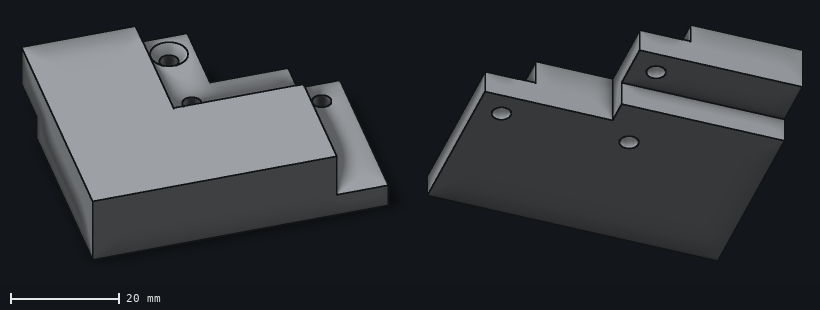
import cadquery as cq

width = 47.0
length = 57.0
height = 14.0

step = 10.0
tab_thickness = 4.85
lip_underside = 5.15
notch_width = 15.0
notch_front = 32.0
pocket_width = 25.0
pocket_front = notch_front - step
pocket_depth = 4.0

hole_offset = step / 2
hole_diameter = 3.6
countersink_diameter = 7.0
countersink_angle = 90.0
inner_hole_x = notch_width + hole_offset
hole_row_y = notch_front - hole_offset
tab_hole_y = length - hole_offset

pocket_floor = height - pocket_depth
tab_front = length - step


def box_between(low, high):
    """Axis-aligned box given by two opposite corners."""
    size = [b - a for a, b in zip(low, high)]
    return cq.Workplane("XY").box(*size, centered=False).translate(low)


block = box_between((0, 0, 0), (width, length, height))

notch = box_between((0, notch_front, 0), (notch_width, length, height))

tab_step = box_between((0, tab_front, tab_thickness), (width, length, height))

lip_undercut = box_between((0, 0, 0), (step, notch_front, lip_underside))

pocket = box_between((0, pocket_front, pocket_floor), (pocket_width, tab_front, height))

result = block.cut(notch).cut(tab_step).cut(lip_undercut).cut(pocket)

plain_holes = (
    cq.Workplane("XY")
    .pushPoints([(inner_hole_x, hole_row_y), (inner_hole_x, tab_hole_y)])
    .circle(hole_diameter / 2)
    .extrude(height)
)
result = result.cut(plain_holes)

result = (
    result.copyWorkplane(cq.Workplane("XY", origin=(0, 0, pocket_floor)))
    .center(hole_offset, hole_row_y)
    .cskHole(hole_diameter, countersink_diameter, countersink_angle)
)